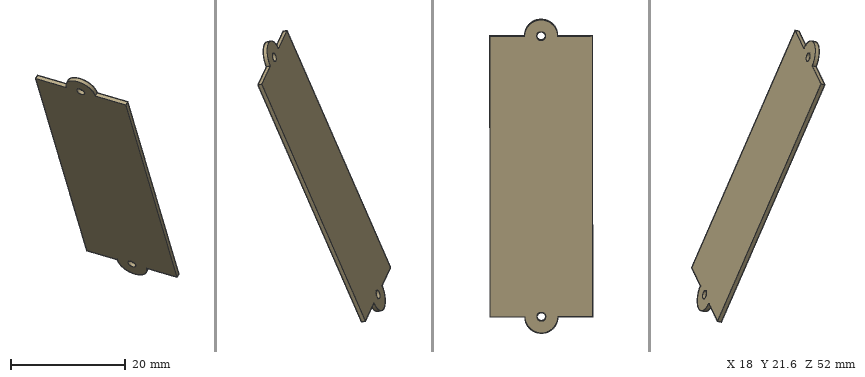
import cadquery as cq
import math

plate_width = 18.0
overall_height = 52
thickness = 0.8
ear_radius = 2.9
hole_diameter = 1.5
lean_angle = 22

lean = math.radians(lean_angle)
length_over_ears = (overall_height - thickness * math.sin(lean)) / math.cos(lean)
plate_length = length_over_ears - 2 * ear_radius

half_width = plate_width / 2
half_length = plate_length / 2
ear_centres = [(0, -half_length), (0, half_length)]


def flat_plate():
    """Upright plate, centred on the XZ plane, with a half-round ear on each short edge."""
    return (
        cq.Workplane("XZ", origin=(0, thickness / 2, 0))
        .moveTo(-half_width, -half_length)
        .lineTo(-ear_radius, -half_length)
        .threePointArc((0, -half_length - ear_radius), (ear_radius, -half_length))
        .lineTo(half_width, -half_length)
        .lineTo(half_width, half_length)
        .lineTo(ear_radius, half_length)
        .threePointArc((0, half_length + ear_radius), (-ear_radius, half_length))
        .lineTo(-half_width, half_length)
        .close()
        .extrude(thickness)
    )


def ear_holes():
    """Through holes concentric with the ears."""
    return (
        cq.Workplane("XZ", origin=(0, thickness / 2, 0))
        .pushPoints(ear_centres)
        .circle(hole_diameter / 2)
        .extrude(thickness)
    )


result = flat_plate().cut(ear_holes()).rotate((0, 0, 0), (1, 0, 0), lean_angle)